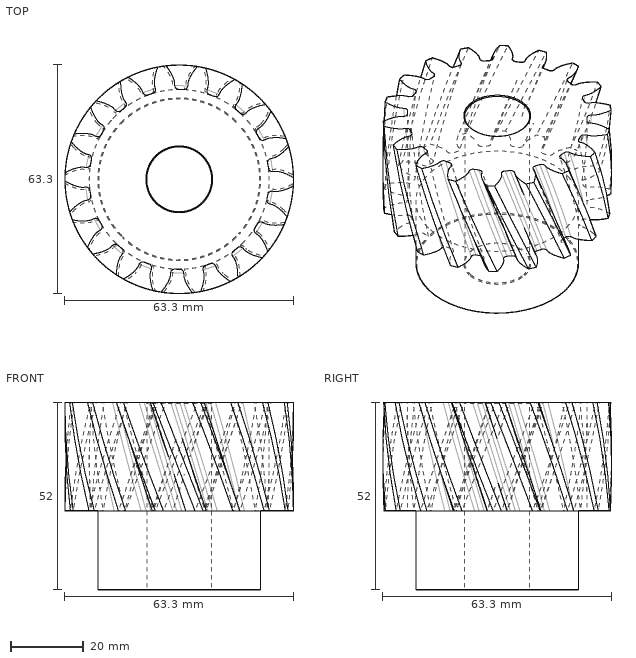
import cadquery as cq
import math

outer_radius = 31.65
total_height = 52.0
gear_width = 30.0
hub_height = total_height - gear_width
hub_radius = 22.55
bore_radius = 9.0
edge_chamfer = 0.25

tooth_count = 18
helix_angle = math.radians(19.5)
normal_pressure_angle = math.radians(20)
normal_module = 2 * outer_radius / (tooth_count / math.cos(helix_angle) + 2)
pitch_radius = outer_radius - normal_module
dedendum_factor = 1.25
root_radius = pitch_radius - dedendum_factor * normal_module
root_fillet = 1.1
flank_points = 6

pressure_angle = math.atan(math.tan(normal_pressure_angle) / math.cos(helix_angle))
base_radius = pitch_radius * math.cos(pressure_angle)
tooth_pitch = 2 * math.pi / tooth_count
twist_angle = gear_width * math.tan(helix_angle) / pitch_radius


def involute(angle):
    """Polar angle swept by an involute at the given pressure angle."""
    return math.tan(angle) - angle


base_half_angle = tooth_pitch / 4 + involute(pressure_angle)


def polar(radius, angle):
    """Point at a radius and an angle about the gear axis."""
    return (radius * math.cos(angle), radius * math.sin(angle))


def flank_half_angle(radius):
    """Half of the tooth's angular thickness on its involute flank."""
    return base_half_angle - involute(math.acos(base_radius / radius))


def flank_radii():
    """Radii from base circle to tip, closer together near the base circle."""
    depth = outer_radius - base_radius
    return [base_radius + depth * (i / flank_points) ** 2 for i in range(flank_points + 1)]


fillet_centre_radius = root_radius + root_fillet
fillet_span = math.asin(root_fillet / fillet_centre_radius)
fillet_top_radius = math.sqrt(fillet_centre_radius**2 - root_fillet**2)
fillet_foot_angle = base_half_angle + fillet_span


def fillet_middle(tooth_angle, side):
    """Middle of a root fillet arc; side is +1 counter-clockwise of the tooth, -1 clockwise."""
    centre_angle = tooth_angle + side * fillet_foot_angle
    x, y = polar(fillet_centre_radius, centre_angle)
    half_turn = (math.pi / 2 - fillet_span) / 2
    dx, dy = polar(root_fillet, centre_angle + math.pi + side * half_turn)
    return (x + dx, y + dy)


def flank(tooth_angle, side):
    """Points of one flank from the top of its fillet out to the tip."""
    foot = polar(fillet_top_radius, tooth_angle + side * base_half_angle)
    return [foot] + [polar(r, tooth_angle + side * flank_half_angle(r)) for r in flank_radii()]


def tooth_outline():
    """Closed counter-clockwise outline of the gear, one tooth and the gap after it at a time."""
    outline = cq.Workplane("XY").workplane(offset=hub_height)
    outline = outline.moveTo(*polar(root_radius, -fillet_foot_angle))
    for tooth in range(tooth_count):
        tooth_angle = tooth * tooth_pitch
        rising = flank(tooth_angle, -1)
        falling = flank(tooth_angle, 1)[::-1]
        gap_start = polar(root_radius, tooth_angle + fillet_foot_angle)
        gap_middle = polar(root_radius, tooth_angle + tooth_pitch / 2)
        gap_end = polar(root_radius, tooth_angle + tooth_pitch - fillet_foot_angle)
        outline = (
            outline.threePointArc(fillet_middle(tooth_angle, -1), rising[0])
            .spline(rising[1:], includeCurrent=True)
            .threePointArc(polar(outer_radius, tooth_angle), falling[0])
            .spline(falling[1:], includeCurrent=True)
            .threePointArc(fillet_middle(tooth_angle, 1), gap_start)
            .threePointArc(gap_middle, gap_end)
        )
    return outline.close()


def make_gear():
    """Twisted gear body standing on the hub, turning clockwise (from above) as it rises."""
    return tooth_outline().twistExtrude(gear_width, -math.degrees(twist_angle))


def make_hub():
    """Plain cylindrical hub below the gear with a chamfered bottom edge."""
    hub = cq.Workplane("XY").circle(hub_radius).extrude(hub_height)
    return hub.faces("<Z").chamfer(edge_chamfer)


def make_bore():
    """Through bore with a small chamfer at both ends, as a solid of revolution."""
    mouth_radius = bore_radius + edge_chamfer
    return (
        cq.Workplane("XZ")
        .lineTo(mouth_radius, 0)
        .lineTo(bore_radius, edge_chamfer)
        .lineTo(bore_radius, total_height - edge_chamfer)
        .lineTo(mouth_radius, total_height)
        .lineTo(0, total_height)
        .close()
        .revolve(360, (0, 0, 0), (0, 1, 0))
    )


result = make_gear().union(make_hub()).cut(make_bore())